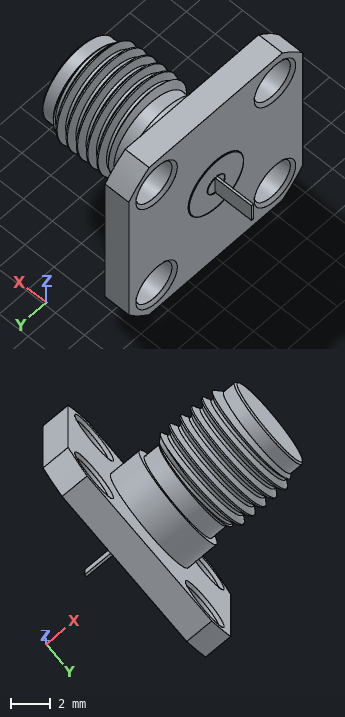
import cadquery as cq
import math


FLANGE_SIDE = 12.7
FLANGE_THICKNESS = 1.65
CORNER_DIAMETER = 16.0
HOLE_SPACING = 8.64
HOLE_DIAMETER = 2.64
COUNTERSINK_DIAMETER = 3.02

BARREL_END = 9.53
COLLAR_END = 3.53
COLLAR_DIAMETER = 6.12
NECK_DIAMETER = 5.32
END_CHAMFER = 0.1

THREAD_START = 4.51
THREAD_END = 8.71
CREST_DIAMETER = 6.24
PITCH = 25.4 / 36
THREAD_HALF_ANGLE = 30.0
TOOTH_HEIGHT = 0.385
CREST_WIDTH = PITCH / 8
CREST_AT_TOP = 5.40
ROOT_OVERLAP = 0.05

INSULATOR_DIAMETER = 4.04
INSULATOR_PROTRUSION = 0.05
INSULATOR_CHAMFER = 0.04
CONTACT_DIAMETER = 1.27
TAB_THICKNESS = 0.15
TAB_LENGTH = 2.54


def rod(diameter, start, end):
    """Cylinder about the X axis between two X stations."""
    return cq.Workplane("YZ", origin=(start, 0, 0)).circle(diameter / 2).extrude(end - start)


def make_hole_cutter():
    """Through hole at the origin, countersunk at both faces of the flange."""
    hole_radius = HOLE_DIAMETER / 2
    sink_radius = COUNTERSINK_DIAMETER / 2
    sink_depth = sink_radius - hole_radius
    return (
        cq.Workplane("XY")
        .polyline([
            (0, 0),
            (0, sink_radius),
            (sink_depth, hole_radius),
            (FLANGE_THICKNESS - sink_depth, hole_radius),
            (FLANGE_THICKNESS, sink_radius),
            (FLANGE_THICKNESS, 0),
        ])
        .close()
        .revolve(360, (0, 0, 0), (1, 0, 0))
    )


def make_flange():
    """Square plate with rounded corners and four mounting holes."""
    plate = cq.Workplane("YZ").rect(FLANGE_SIDE, FLANGE_SIDE).extrude(FLANGE_THICKNESS)
    plate = plate.intersect(rod(CORNER_DIAMETER, 0, FLANGE_THICKNESS))
    cutter = make_hole_cutter()
    for y_side in (-1, 1):
        for z_side in (-1, 1):
            hole_centre = (0, y_side * HOLE_SPACING / 2, z_side * HOLE_SPACING / 2)
            plate = plate.cut(cutter.translate(hole_centre))
    return plate


def make_barrel():
    """Collar next to the flange, then the plain neck with a chamfered front edge."""
    collar = rod(COLLAR_DIAMETER, FLANGE_THICKNESS, COLLAR_END)
    neck = rod(NECK_DIAMETER, FLANGE_THICKNESS, BARREL_END).faces(">X").chamfer(END_CHAMFER)
    return collar.union(neck)


def make_thread():
    """Right-handed helical tooth on its root cylinder, trimmed by 45 degree lead chamfers."""
    crest_radius = CREST_DIAMETER / 2
    root_radius = crest_radius - TOOTH_HEIGHT
    foot_radius = root_radius - ROOT_OVERLAP
    flank_slope = math.tan(math.radians(THREAD_HALF_ANGLE))
    crest_half = CREST_WIDTH / 2
    foot_half = crest_half + (crest_radius - foot_radius) * flank_slope

    turns_before = math.ceil((CREST_AT_TOP - THREAD_START) / PITCH) + 1
    turns_after = math.ceil((THREAD_END - CREST_AT_TOP) / PITCH) + 1
    helix_height = (turns_before + turns_after) * PITCH
    helix_start = CREST_AT_TOP - turns_before * PITCH

    path = cq.Wire.makeHelix(PITCH, helix_height, foot_radius)
    tooth = (
        cq.Workplane("XZ")
        .polyline([
            (foot_radius, -foot_half),
            (crest_radius, -crest_half),
            (crest_radius, crest_half),
            (foot_radius, foot_half),
        ])
        .close()
        .sweep(cq.Workplane(obj=path), isFrenet=True)
    )
    tooth = (
        tooth.rotate((0, 0, 0), (0, 1, 0), 90)
        .rotate((0, 0, 0), (1, 0, 0), 180)
        .translate((helix_start, 0, 0))
    )

    neck_radius = NECK_DIAMETER / 2
    half_length = (THREAD_END - THREAD_START) / 2
    envelope = (
        cq.Workplane("XY")
        .polyline([
            (THREAD_START, 0),
            (THREAD_START, neck_radius),
            (THREAD_START + half_length, neck_radius + half_length),
            (THREAD_END, neck_radius),
            (THREAD_END, 0),
        ])
        .close()
        .revolve(360, (0, 0, 0), (1, 0, 0))
    )
    root = rod(2 * root_radius, THREAD_START, THREAD_END)
    return root.intersect(envelope).union(tooth.intersect(envelope))


def make_insulator():
    """Slightly proud chamfered disc, open in the middle down to the round contact's end face."""
    disc = rod(INSULATOR_DIAMETER, -INSULATOR_PROTRUSION, FLANGE_THICKNESS)
    disc = disc.faces("<X").chamfer(INSULATOR_CHAMFER)
    return disc.cut(rod(CONTACT_DIAMETER, -INSULATOR_PROTRUSION, 0))


def make_tab():
    """Flat solder tab, a slice of the round contact."""
    slice_box = cq.Workplane("XY").box(2 * TAB_LENGTH, TAB_THICKNESS, CONTACT_DIAMETER)
    return rod(CONTACT_DIAMETER, -TAB_LENGTH, FLANGE_THICKNESS).intersect(slice_box)


result = (
    make_flange()
    .union(make_barrel())
    .union(make_thread())
    .union(make_insulator())
    .union(make_tab())
)